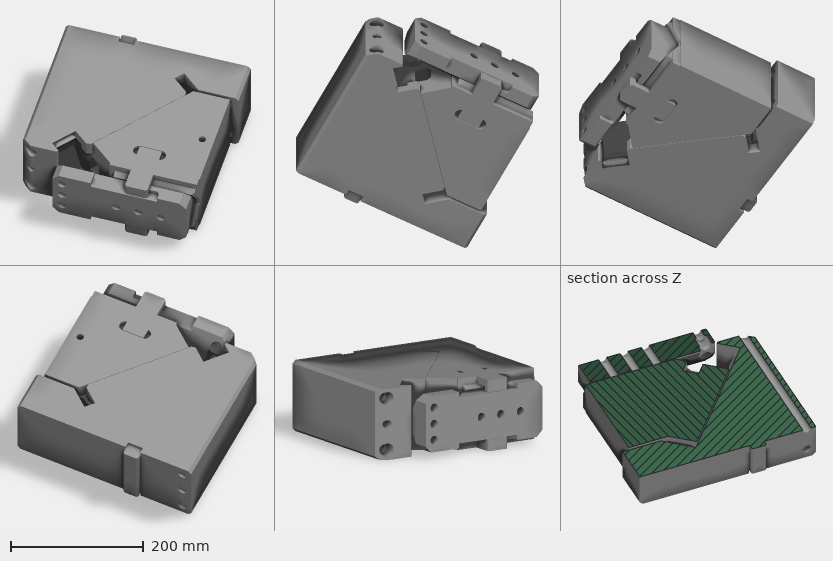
import cadquery as cq
import math

WIDTH = 290.0
DEPTH = 284.0
HEIGHT = 110.0
HALF_HEIGHT = HEIGHT / 2
FAR = 2 * WIDTH

SLANT_ANGLE = 50.0
SLANT_ORIGIN = (104.0, 67.0)
S_DIR = (math.cos(math.radians(SLANT_ANGLE)), math.sin(math.radians(SLANT_ANGLE)))
D_DIR = (-S_DIR[1], S_DIR[0])

V_SLOPE = math.tan(math.radians(30))
V_EDGE_Z = 39.0
V_FLAT_Z = 5.2
V_DEPTH = (V_EDGE_Z - V_FLAT_Z) * V_SLOPE

BASE_FRONT_Y = 35.0
BASE_BACK_Y = 275.0
BASE_CORNER = (14.8, 12.8)
BASE_EDGE_CHAMFER = 5.0
BASE_ARM_Y = 210.2
BASE_GUIDE_GAP = 0.5
BASE_GUIDE_START = -9.3
BASE_GUIDE_END = 171.0
BASE_GUIDE_CHAMFER = (4.0, 5.2)
LOWER_NOTCH_DEPTH = 33.5
LOWER_NOTCH_START = -51.5
UPPER_NOTCH_DEPTH = 36.2
UPPER_NOTCH_END = 188.5
TOE_DEPTH = 16.2
TOE_X = 56.0
UNDERCUT_Z = 40.5

NECK_Z = 31.0
NECK_DEPTH = 18.3
HEAD_DEPTH = 33.4
TONGUE_EDGE_Z = 36.0

BASE_HOLE_X = 14.8
BASE_HOLE_Z = 39.7
BASE_HOLE_DIAMETER = 13.0
BASE_COUNTERBORE_DIAMETER = 20.3
BASE_COUNTERBORE_DEPTH = 20.0
ARM_HOLE_X = 274.0
ARM_HOLE_Z = 35.0
ARM_HOLE_DEPTH = 29.0

KEY_LEFT_X = 85.0
KEY_WIDTH = 24.6
KEY_FRONT_Y = 265.5
KEY_HALF_HEIGHT = 49.3
KEY_CHAMFER = 2.3

SLIDER_FRONT_Y = 33.5
SLIDER_BACK_Y = 205.5
SLIDER_LEFT_X = 139.8
SLIDER_RIGHT_X = 277.8
SLIDER_STEP_X = 276.7
SLIDER_STEP_Y = 45.5
TONGUE_END = 176.0

LIP_LEFT_X = 148.2
LIP_RIGHT_X = 274.5
LIP_CORNER = 4.0
LIP_TIP_Y = 25.0
LIP_ROOT_Z = 44.0
GROOVE_BOTTOM_Y = 45.0
END_CLEARANCE = 2.0

HOOK_LEFT_X = 173.0
HOOK_WIDTH = 35.0
HOOK_FRONT_Y = 1.2
HOOK_BACK_Y = 80.5
HOOK_TOE_Y = 10.2
HOOK_TOE_Z = 36.2
HOOK_ARM_Z = 44.5
HOOK_CHAMFER = 2.5
HOOK_REAR_RADIUS = 2.3

RELIEF_CENTER = (190.8, 72.8)
RELIEF_LENGTH = 51.0
RELIEF_WIDTH = 17.5

END_POCKET_HALF_HEIGHT = 17.7
END_POCKET_INNER_D = -15.5
END_POCKET_OUTER_D = 9.3
END_POCKET_RADIUS = 9.3
END_POCKET_DEPTH = 23.2

PIN_HOLE_CENTER = (259.5, 120.4)
PIN_HOLE_DIAMETER = 11.0
PIN_HOLE_DEPTH = 17.5
DRILL_POINT_ANGLE = 118.0

PLATE_LEFT_X = 59.7
PLATE_RIGHT_X = 269.7
PLATE_HALF_HEIGHT = 43.5
PLATE_CORNER = 10.2
PLATE_EDGE_Y = 21.2
PLATE_BACK_Y = 44.0
PLATE_STEP_X = 87.5
PLATE_STEP_Y = 34.8

NOTCH_LEFT_X = 119.8
NOTCH_ENTRY_RIGHT_X = 191.5
NOTCH_RIGHT_X = 224.5
NOTCH_FLOOR_Z = 35.7
NOTCH_SHALLOW_Y = 13.0
NOTCH_RADIUS = 5.8

PLATE_HOLE_DIAMETER = 13.0
PLATE_HOLE_XS = (159.8, 194.5, 230.0)
PLATE_END_HOLE_X = 74.8
PLATE_END_HOLE_Z = 25.0
PLATE_COUNTERBORE_DIAMETER = 20.0
PLATE_COUNTERBORE_Y = 14.5


def slant_point(d, s):
    """XY position of a point given in the slanted guide's directions."""
    return (
        SLANT_ORIGIN[0] + d * D_DIR[0] + s * S_DIR[0],
        SLANT_ORIGIN[1] + d * D_DIR[1] + s * S_DIR[1],
    )


def d_at_y(s, y):
    """Value of d where the line of constant s crosses the given Y."""
    return (y - SLANT_ORIGIN[1] - s * S_DIR[1]) / D_DIR[1]


def plan_prism(points):
    """Vertical prism of the full height over an XY outline."""
    return cq.Workplane("XY").workplane(offset=-HALF_HEIGHT).polyline(points).close().extrude(HEIGHT)


def slant_plane(s):
    """Plane across the slanted guide at s, with d to its right and Z up."""
    return cq.Plane(origin=(*slant_point(0, s), 0), xDir=(*D_DIR, 0), normal=(*S_DIR, 0))


def slant_prism(half_section, start, end):
    """Prism along s whose (d, z) section is mirrored about Z = 0."""
    section = half_section + [(d, -z) for d, z in reversed(half_section)]
    return cq.Workplane(slant_plane(start)).polyline(section).close().extrude(end - start)


def x_prism(half_section, left, right):
    """Prism along X whose (y, z) section is mirrored about Z = 0."""
    section = half_section + [(y, -z) for y, z in reversed(half_section)]
    return cq.Workplane("YZ").workplane(offset=left).polyline(section).close().extrude(right - left)


def y_cylinder(x, z, diameter, start, end):
    """Cylinder along Y from start to end."""
    plane = cq.Plane(origin=(x, start, z), xDir=(1, 0, 0), normal=(0, 1, 0))
    return cq.Workplane(plane).circle(diameter / 2).extrude(end - start)


def both_sides(upper):
    """The given upper shape together with its mirror image below Z = 0."""
    return upper.add(upper.mirror("XY"))


def t_guide(start, end, head_z):
    """T guide with a V shaped end, used for the slider's tongue and the base's slot."""
    half_section = [
        (0, NECK_Z),
        (NECK_DEPTH, NECK_Z),
        (NECK_DEPTH, head_z),
        (HEAD_DEPTH, head_z),
        (HEAD_DEPTH + (head_z - V_FLAT_Z) * V_SLOPE, V_FLAT_Z),
    ]
    return slant_prism(half_section, start, end)


def base_blank():
    """Base body with both end notches and chamfered outer long edges."""
    chamfer_d, chamfer_s = BASE_GUIDE_CHAMFER
    guide_d = BASE_GUIDE_GAP
    outline = [
        (0, BASE_BACK_Y),
        (0, BASE_FRONT_Y + BASE_CORNER[1]),
        (BASE_CORNER[0], BASE_FRONT_Y),
        (TOE_X, BASE_FRONT_Y),
        slant_point(TOE_DEPTH, LOWER_NOTCH_START),
        slant_point(LOWER_NOTCH_DEPTH, LOWER_NOTCH_START),
        slant_point(LOWER_NOTCH_DEPTH, BASE_GUIDE_START),
        slant_point(guide_d + chamfer_d, BASE_GUIDE_START),
        slant_point(guide_d, BASE_GUIDE_START + chamfer_s),
        slant_point(guide_d, BASE_GUIDE_END - chamfer_s),
        slant_point(guide_d + chamfer_d, BASE_GUIDE_END),
        slant_point(UPPER_NOTCH_DEPTH, BASE_GUIDE_END),
        slant_point(UPPER_NOTCH_DEPTH, UPPER_NOTCH_END),
        slant_point(d_at_y(UPPER_NOTCH_END, BASE_ARM_Y), UPPER_NOTCH_END),
        (WIDTH, BASE_ARM_Y),
        (WIDTH, BASE_BACK_Y),
    ]
    blank = plan_prism(outline)
    chamfered_bar = (
        cq.Workplane("XZ")
        .center(WIDTH / 2, 0)
        .rect(WIDTH, HEIGHT)
        .extrude(-DEPTH)
        .edges("|Y")
        .chamfer(BASE_EDGE_CHAMFER)
    )
    return blank.intersect(chamfered_bar)


def lower_notch_undercut():
    """Widens the lower notch below its top edge and above its bottom edge."""
    deep_d = LOWER_NOTCH_DEPTH + (HALF_HEIGHT - UNDERCUT_Z) * V_SLOPE
    wedge = (
        cq.Workplane(slant_plane(LOWER_NOTCH_START))
        .polyline([(LOWER_NOTCH_DEPTH, HALF_HEIGHT), (deep_d, UNDERCUT_Z), (LOWER_NOTCH_DEPTH, V_EDGE_Z)])
        .close()
        .extrude(BASE_GUIDE_START - LOWER_NOTCH_START)
    )
    return both_sides(wedge)


def base_holes():
    holes = cq.Workplane()
    for z in (-BASE_HOLE_Z, 0, BASE_HOLE_Z):
        holes = holes.add(y_cylinder(BASE_HOLE_X, z, BASE_HOLE_DIAMETER, 0, DEPTH))
    counterbore_end = BASE_FRONT_Y + BASE_COUNTERBORE_DEPTH
    for z in (-BASE_HOLE_Z, BASE_HOLE_Z):
        holes = holes.add(y_cylinder(BASE_HOLE_X, z, BASE_COUNTERBORE_DIAMETER, 0, counterbore_end))
    arm_hole_end = BASE_ARM_Y + ARM_HOLE_DEPTH
    for z in (-ARM_HOLE_Z, ARM_HOLE_Z):
        holes = holes.add(y_cylinder(ARM_HOLE_X, z, BASE_HOLE_DIAMETER, BASE_ARM_Y, arm_hole_end))
    return holes


def rear_key(front_y, half_height):
    """Block of the key's width from front_y to the very back of the part."""
    return (
        cq.Workplane("XY")
        .box(KEY_WIDTH, DEPTH - front_y, 2 * half_height, centered=(False, False, True))
        .translate((KEY_LEFT_X, front_y, 0))
    )


def make_base():
    base = base_blank().cut(t_guide(LOWER_NOTCH_START, UPPER_NOTCH_END, V_EDGE_Z))
    for cutter in lower_notch_undercut().vals() + base_holes().vals():
        base = base.cut(cq.Workplane(cutter))
    base = base.cut(rear_key(KEY_FRONT_Y, HALF_HEIGHT))
    key = rear_key(KEY_FRONT_Y, KEY_HALF_HEIGHT).faces(">Y").edges("|Z").chamfer(KEY_CHAMFER)
    return base.union(key)


def slider_blank():
    """Slider body with the T tongue, both ending at the same back face."""
    end_d = d_at_y(TONGUE_END, SLIDER_BACK_Y)
    top_s = (SLIDER_BACK_Y - SLANT_ORIGIN[1]) / S_DIR[1]
    end_face_d = (SLIDER_LEFT_X - SLANT_ORIGIN[0]) / D_DIR[0]
    outline = [
        slant_point(0, 0),
        slant_point(end_face_d, 0),
        (SLIDER_LEFT_X, SLIDER_FRONT_Y),
        (SLIDER_STEP_X, SLIDER_FRONT_Y),
        (SLIDER_STEP_X, SLIDER_STEP_Y),
        (SLIDER_RIGHT_X, SLIDER_STEP_Y),
        (SLIDER_RIGHT_X, SLIDER_BACK_Y),
        slant_point(0, top_s),
    ]
    behind_back_face = (
        cq.Workplane("XY")
        .box(FAR, FAR, HEIGHT, centered=(False, False, True))
        .translate((slant_point(end_d, TONGUE_END)[0], SLIDER_BACK_Y, 0))
    )
    tongue = t_guide(0, TONGUE_END, TONGUE_EDGE_Z)
    corner_fill = slant_prism([(0, NECK_Z), (end_d, NECK_Z)], TONGUE_END, top_s).cut(behind_back_face)
    return plan_prism(outline).union(tongue).union(corner_fill)


def slider_lips():
    """Ridges along X that carry the mouth of the V groove forward of the front face."""
    lip = (
        cq.Workplane("YZ")
        .workplane(offset=LIP_LEFT_X)
        .polyline([
            (LIP_TIP_Y, V_EDGE_Z),
            (SLIDER_FRONT_Y, LIP_ROOT_Z),
            (SLIDER_FRONT_Y, V_EDGE_Z - (SLIDER_FRONT_Y - LIP_TIP_Y) / V_SLOPE),
        ])
        .close()
        .extrude(LIP_RIGHT_X - LIP_LEFT_X)
    )
    corner = plan_prism([
        (LIP_RIGHT_X, LIP_TIP_Y),
        (LIP_RIGHT_X - LIP_CORNER, LIP_TIP_Y),
        (LIP_RIGHT_X, LIP_TIP_Y + LIP_CORNER),
    ])
    return both_sides(lip.cut(corner))


def slider_v_groove():
    """Groove along X for the plate's ridge, with a slot along its bottom."""
    half_section = [
        (LIP_TIP_Y, V_EDGE_Z),
        (LIP_TIP_Y + V_DEPTH, V_FLAT_Z),
        (GROOVE_BOTTOM_Y, V_FLAT_Z),
    ]
    groove = x_prism(half_section, 0, WIDTH)
    clearance = x_prism(half_section, LIP_RIGHT_X, WIDTH).translate((0, END_CLEARANCE, 0))
    return groove.union(clearance)


def retaining_hook():
    """Arm along the top face that reaches forward and turns down in front of the plate's ledge."""
    arm = (
        cq.Workplane("XY")
        .box(HOOK_WIDTH, HOOK_BACK_Y - HOOK_FRONT_Y, HALF_HEIGHT - HOOK_TOE_Z, centered=False)
        .edges("|Z and <Y")
        .chamfer(HOOK_CHAMFER)
        .edges("|Z and >Y")
        .fillet(HOOK_REAR_RADIUS)
        .translate((HOOK_LEFT_X, HOOK_FRONT_Y, HOOK_TOE_Z))
    )
    under_arm = (
        cq.Workplane("XY")
        .box(HOOK_WIDTH, HOOK_BACK_Y - HOOK_TOE_Y, HOOK_ARM_Z - HOOK_TOE_Z, centered=False)
        .translate((HOOK_LEFT_X, HOOK_TOE_Y, HOOK_TOE_Z))
    )
    return arm.cut(under_arm)


def hook_relief():
    """Rounded recess around the rear end of the hook's arm."""
    return (
        cq.Workplane("XY")
        .workplane(offset=HOOK_ARM_Z)
        .center(*RELIEF_CENTER)
        .slot2D(RELIEF_LENGTH, RELIEF_WIDTH)
        .extrude(HALF_HEIGHT - HOOK_ARM_Z)
    )


def end_pocket():
    """Pocket in the slider's lower end face, reaching from the body into the tongue's neck."""
    length = END_POCKET_OUTER_D - END_POCKET_INNER_D
    along_s = cq.selectors.ParallelDirSelector(cq.Vector(*S_DIR, 0))
    innermost = cq.selectors.DirectionMinMaxSelector(cq.Vector(*D_DIR, 0), directionMax=False)
    return (
        cq.Workplane(slant_plane(0))
        .center(END_POCKET_INNER_D + length / 2, 0)
        .rect(length, 2 * END_POCKET_HALF_HEIGHT)
        .extrude(END_POCKET_DEPTH)
        .edges(along_s & innermost)
        .fillet(END_POCKET_RADIUS)
    )


def pin_hole():
    """Blind drilled hole with a conical bottom, down from the top face."""
    radius = PIN_HOLE_DIAMETER / 2
    point_depth = radius / math.tan(math.radians(DRILL_POINT_ANGLE / 2))
    profile = [
        (0, 0),
        (radius, 0),
        (radius, -PIN_HOLE_DEPTH),
        (0, -PIN_HOLE_DEPTH - point_depth),
    ]
    drill = cq.Workplane("XZ").polyline(profile).close().revolve(360, (0, 0), (0, 1))
    return drill.translate((*PIN_HOLE_CENTER, HALF_HEIGHT))


def make_slider():
    slider = slider_blank()
    for lip in slider_lips().vals():
        slider = slider.union(cq.Workplane(lip))
    slider = slider.cut(slider_v_groove()).cut(end_pocket()).cut(pin_hole())
    for relief in both_sides(hook_relief()).vals():
        slider = slider.cut(cq.Workplane(relief))
    for hook in both_sides(retaining_hook()).vals():
        slider = slider.union(cq.Workplane(hook))
    return slider


def plate_blank():
    """Plate with a V ridge along its back and cut corners at both ends."""
    back_z = PLATE_HALF_HEIGHT - (PLATE_BACK_Y - PLATE_EDGE_Y) / V_SLOPE
    half_section = [
        (0, PLATE_HALF_HEIGHT),
        (PLATE_EDGE_Y, PLATE_HALF_HEIGHT),
        (PLATE_BACK_Y, back_z),
    ]
    length = PLATE_RIGHT_X - PLATE_LEFT_X
    front_shape = (
        cq.Workplane("XZ")
        .center(PLATE_LEFT_X + length / 2, 0)
        .rect(length, 2 * PLATE_HALF_HEIGHT)
        .extrude(-PLATE_BACK_Y)
        .edges("|Y")
        .chamfer(PLATE_CORNER)
    )
    return x_prism(half_section, PLATE_LEFT_X, PLATE_RIGHT_X).intersect(front_shape)


def ridge_step():
    """Space behind the left end of the plate, where it has no full ridge."""
    return (
        cq.Workplane("XY")
        .box(PLATE_STEP_X, PLATE_BACK_Y, HEIGHT, centered=(False, False, True))
        .translate((0, PLATE_STEP_Y, 0))
    )


def hook_notch():
    """Entry gap through the plate's edge, leading into a shallow gap in front of the ledge."""
    height = HALF_HEIGHT - NOTCH_FLOOR_Z
    entry = (
        cq.Workplane("XY")
        .box(NOTCH_ENTRY_RIGHT_X - NOTCH_LEFT_X, PLATE_BACK_Y, height, centered=False)
        .translate((NOTCH_LEFT_X, 0, NOTCH_FLOOR_Z))
    )
    shallow = (
        cq.Workplane("XY")
        .box(NOTCH_RIGHT_X - NOTCH_LEFT_X, NOTCH_SHALLOW_Y, height, centered=False)
        .edges("|Z and >X and >Y")
        .fillet(NOTCH_RADIUS)
        .translate((NOTCH_LEFT_X, 0, NOTCH_FLOOR_Z))
    )
    return entry.union(shallow)


def plate_holes():
    holes = cq.Workplane()
    for x in PLATE_HOLE_XS:
        holes = holes.add(y_cylinder(x, 0, PLATE_HOLE_DIAMETER, 0, PLATE_BACK_Y))
    for z in (-PLATE_END_HOLE_Z, 0, PLATE_END_HOLE_Z):
        holes = holes.add(y_cylinder(PLATE_END_HOLE_X, z, PLATE_HOLE_DIAMETER, 0, PLATE_BACK_Y))
        holes = holes.add(
            y_cylinder(PLATE_END_HOLE_X, z, PLATE_COUNTERBORE_DIAMETER, PLATE_COUNTERBORE_Y, PLATE_BACK_Y)
        )
    return holes


def make_plate():
    plate = plate_blank().cut(ridge_step())
    for cutter in both_sides(hook_notch()).vals() + plate_holes().vals():
        plate = plate.cut(cq.Workplane(cutter))
    return plate


base = make_base()
slider = make_slider()
plate = make_plate()
result = cq.Compound.makeCompound([base.val(), slider.val(), plate.val()])